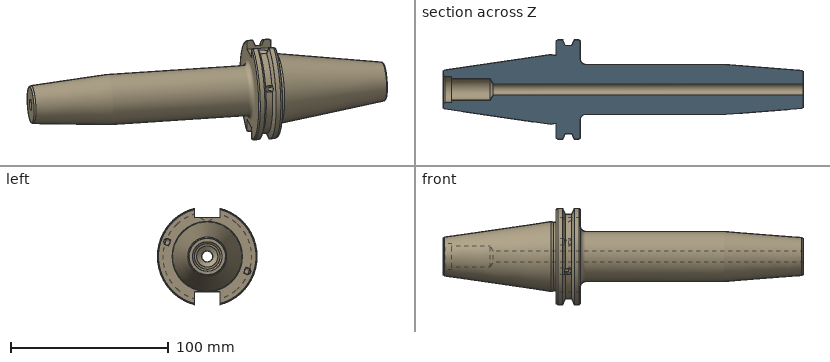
import cadquery as cq
import math

total_length = 228.2
taper_length = 68.5
relief_start = 69.8
flange_start = 71.5
flange_end = 87.0
nose_start = 178.0

gauge_radius = 44.5 / 2
taper_rate = 7 / 24
shank_end_radius = gauge_radius - taper_length * taper_rate / 2
shank_chamfer = 0.7
relief_radius = 43.5 / 2
body_radius = 32.0 / 2
body_fillet = 3.5
nose_angle = 4.5
nose_chamfer = 1.1
nose_chamfer_height = 0.7

flange_radius = 63.2 / 2
flange_chamfer = 1.4
flange_chamfer_height = 0.7
rear_chamfer = 1.0
groove_center = 79.5
groove_floor_radius = 28.0
groove_floor_width = 4.0
groove_mouth_width = 7.3

slot_width = 16.0
top_slot_floor = 24.9
bottom_slot_floor = 22.4
dimple_diameter = 10.0
dimple_depth = 3.0

coolant_angle = 20.0
coolant_circle_radius = 27.2
coolant_diameter = 4.0
screw_hole_diameter = 4.0
screw_hole_floor_radius = 25.3

bore_mouth_radius = 18.7 / 2
bore_radius = 16.2 / 2
bore_depth = 5.2
thread_radius = 13.5 / 2
thread_depth = 29.7
through_radius = 6.8 / 2
cone_length = 2.0


def shank_and_flange():
    """Revolve the complete outer profile around the X axis."""
    nose_slope = math.tan(math.radians(nose_angle))
    nose_edge_x = total_length - nose_chamfer
    nose_edge_radius = body_radius - (nose_edge_x - nose_start) * nose_slope
    chamfer_end_radius = shank_end_radius + shank_chamfer * taper_rate / 2
    flange_edge_radius = flange_radius - flange_chamfer_height
    fillet_middle = body_fillet * (1 - math.sqrt(0.5))
    profile = (
        cq.Workplane("XY")
        .lineTo(0, shank_end_radius - shank_chamfer)
        .lineTo(shank_chamfer, chamfer_end_radius)
        .lineTo(taper_length, gauge_radius)
        .lineTo(relief_start, relief_radius)
        .lineTo(flange_start, relief_radius)
        .lineTo(flange_start, flange_edge_radius)
        .lineTo(flange_start + flange_chamfer, flange_radius)
        .lineTo(groove_center - groove_mouth_width / 2, flange_radius)
        .lineTo(groove_center - groove_floor_width / 2, groove_floor_radius)
        .lineTo(groove_center + groove_floor_width / 2, groove_floor_radius)
        .lineTo(groove_center + groove_mouth_width / 2, flange_radius)
        .lineTo(flange_end - rear_chamfer, flange_radius)
        .lineTo(flange_end, flange_edge_radius)
        .lineTo(flange_end, body_radius + body_fillet)
        .threePointArc(
            (flange_end + fillet_middle, body_radius + fillet_middle),
            (flange_end + body_fillet, body_radius),
        )
        .lineTo(nose_start, body_radius)
        .lineTo(nose_edge_x, nose_edge_radius)
        .lineTo(total_length, nose_edge_radius - nose_chamfer_height)
        .lineTo(total_length, 0)
        .close()
    )
    return profile.revolve(360, (0, 0, 0), (1, 0, 0))


def axial_bore():
    """Stepped bore from the small end, narrowing to a through hole."""
    mouth_chamfer = bore_mouth_radius - bore_radius
    profile = (
        cq.Workplane("XY")
        .lineTo(0, bore_mouth_radius)
        .lineTo(mouth_chamfer, bore_radius)
        .lineTo(bore_depth, bore_radius)
        .lineTo(bore_depth, thread_radius)
        .lineTo(thread_depth, thread_radius)
        .lineTo(thread_depth + cone_length, through_radius)
        .lineTo(total_length, through_radius)
        .lineTo(total_length, 0)
        .close()
    )
    return profile.revolve(360, (0, 0, 0), (1, 0, 0))


def drive_slot(floor_height, side):
    """Slot across the flange rim; side is +1 for the top and -1 for the bottom."""
    depth = flange_radius - floor_height
    return cq.Workplane("XY").box(flange_end - flange_start, slot_width, depth).translate(
        ((flange_start + flange_end) / 2, 0, side * (floor_height + depth / 2))
    )


def dimple():
    """Conical recess in the floor of the top slot."""
    cone = cq.Solid.makeCone(
        dimple_diameter / 2,
        0,
        dimple_depth,
        cq.Vector(groove_center, 0, top_slot_floor),
        cq.Vector(0, 0, -1),
    )
    return cq.Workplane(cone)


def coolant_hole(angle):
    """Axial hole from the flange face meeting a radial screw hole in the groove."""
    axial = cq.Solid.makeCylinder(
        coolant_diameter / 2,
        groove_center - flange_start,
        cq.Vector(flange_start, coolant_circle_radius, 0),
        cq.Vector(1, 0, 0),
    )
    radial = cq.Solid.makeCylinder(
        screw_hole_diameter / 2,
        flange_radius - screw_hole_floor_radius,
        cq.Vector(groove_center, screw_hole_floor_radius, 0),
        cq.Vector(0, 1, 0),
    )
    return cq.Workplane(axial.fuse(radial)).rotate((0, 0, 0), (1, 0, 0), angle)


result = shank_and_flange().cut(axial_bore())
result = result.cut(drive_slot(top_slot_floor, 1))
result = result.cut(drive_slot(bottom_slot_floor, -1))
result = result.cut(dimple())
for hole_angle in (coolant_angle, coolant_angle + 180):
    result = result.cut(coolant_hole(hole_angle))